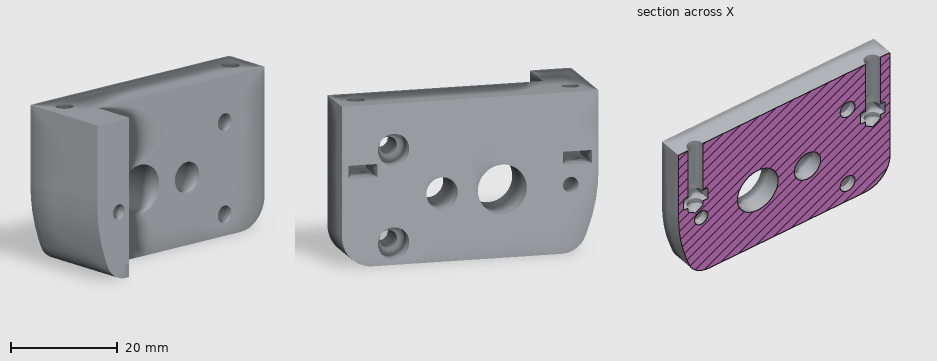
import cadquery as cq
import math

length = 50.0
height = 31.1
plate_thickness = 9.95
foot_reach = 18.85
foot_width = 8.0

side_arc_top = 15.75
side_arc_bottom = 4.7
side_arc_radius = 32.0
front_corner_radius = 5.0
back_corner_radius = 6.0

bore_height = 13.2
through_bores = [
    (18.75, 9.5),
    (30.5, 6.1),
    (5.4, 3.0),
]
screw_y = 39.95
screw_spacing = 18.0
screw_diameter = 3.4
counterbore_diameter = 6.1
counterbore_depth = 3.6

drill_inset = 4.1
drill_diameter = 3.4
drill_depth = 15.0
drill_tip_angle = 118.0
slot_width = 5.65
slot_height = 2.5
slot_bottom = 17.15
slot_depth = plate_thickness / 2 + slot_width / 2


def side_outline():
    """Closed YZ outline shared by the plate and the foot."""
    arc_angle = math.asin((side_arc_top - side_arc_bottom) / side_arc_radius)

    def arc_point(angle):
        return (
            side_arc_radius * (1 - math.cos(angle)),
            side_arc_top - side_arc_radius * math.sin(angle),
        )

    arc_end = arc_point(arc_angle)
    straight_run = side_arc_bottom * math.tan(arc_angle)
    return (
        cq.Workplane("YZ")
        .moveTo(0, height)
        .lineTo(0, side_arc_top)
        .threePointArc(arc_point(arc_angle / 2), arc_end)
        .lineTo(arc_end[0] + straight_run, 0)
        .lineTo(length, 0)
        .lineTo(length, height)
        .close()
    )


def make_body():
    """L-shaped body: a full plate with a foot along its -Y side."""
    block = side_outline().extrude(foot_reach)
    block = block.faces("<Z").edges("<Y").fillet(front_corner_radius)
    block = block.faces("<Z").edges(">Y").fillet(back_corner_radius)
    clearance = cq.Workplane("XY").box(
        foot_reach - plate_thickness, length - foot_width, height, centered=False
    )
    return block.cut(clearance.translate((plate_thickness, foot_width, 0)))


def hole_along_x(y, z, diameter, depth):
    return cq.Workplane("YZ").center(y, z).circle(diameter / 2).extrude(depth)


def drilled_hole(y):
    """Blind hole from the top face with a conical drill tip."""
    radius = drill_diameter / 2
    tip_length = radius / math.tan(math.radians(drill_tip_angle / 2))
    shank_bottom = height - drill_depth
    profile = (
        cq.Workplane("XZ")
        .moveTo(0, height)
        .lineTo(radius, height)
        .lineTo(radius, shank_bottom)
        .lineTo(0, shank_bottom - tip_length)
        .close()
    )
    hole = profile.revolve(360, (0, 0, 0), (0, 1, 0))
    return hole.translate((plate_thickness / 2, y, 0))


def nut_slot(y):
    slot = cq.Workplane("XY").box(slot_depth, slot_width, slot_height, centered=False)
    return slot.translate((0, y - slot_width / 2, slot_bottom))


result = make_body()

for bore_y, bore_diameter in through_bores:
    result = result.cut(hole_along_x(bore_y, bore_height, bore_diameter, foot_reach))

for side in (-1, 1):
    screw_z = bore_height + side * screw_spacing / 2
    result = result.cut(hole_along_x(screw_y, screw_z, screw_diameter, plate_thickness))
    result = result.cut(hole_along_x(screw_y, screw_z, counterbore_diameter, counterbore_depth))

for drill_y in (drill_inset, length - drill_inset):
    result = result.cut(drilled_hole(drill_y))
    result = result.cut(nut_slot(drill_y))